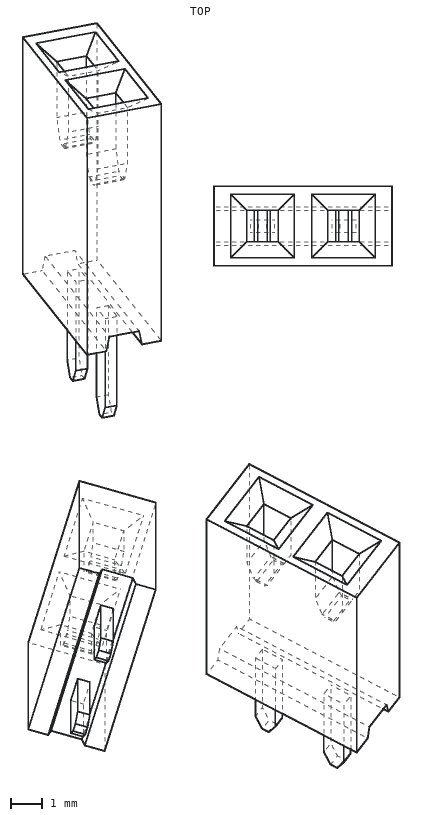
import cadquery as cq

contact_count = 2
pitch = 2.54
end_margin = 0.25
housing_length = contact_count * pitch + 2 * end_margin
housing_width = 2.5
housing_height = 8.5

groove_depth = 0.5
groove_roof_width = 1.0
groove_mouth_width = 1.2

funnel_mouth = 2.0
socket_width = 1.0
funnel_depth = 0.5
ramp_depth = 2.5
ramp_height = 0.675
throat_width = 0.5
throat_depth = ramp_depth + ramp_height
floor_width = 0.3
recess_length = 0.98
floor_depth = throat_depth + (throat_width - floor_width) / 2

pin_width = 0.75
pin_thickness = 0.4
pin_length = 3.2
tip_width = 0.25
tip_height = 0.5

contact_positions = [(i - (contact_count - 1) / 2) * pitch for i in range(contact_count)]


def extrude_symmetric(x, half_profile, thickness):
    """Mirror an XZ half profile about its centre line at x and extrude it evenly along Y."""
    mirrored = [(-across, z) for across, z in reversed(half_profile)]
    return (
        cq.Workplane("XZ", origin=(x, 0, 0))
        .polyline(half_profile + mirrored)
        .close()
        .extrude(thickness / 2, both=True)
    )


def make_housing():
    """Rectangular block standing on Z = 0, centred in X and Y."""
    return cq.Workplane("XY").box(
        housing_length, housing_width, housing_height, centered=(True, True, False)
    )


def make_groove():
    """Trapezoidal channel running the full length of the underside, wider at the bottom."""
    outline = [
        (-groove_mouth_width / 2, 0),
        (-groove_roof_width / 2, groove_depth),
        (groove_roof_width / 2, groove_depth),
        (groove_mouth_width / 2, 0),
    ]
    return cq.Workplane("YZ").polyline(outline).close().extrude(housing_length / 2, both=True)


def make_funnel(x):
    """Square lead-in that narrows from the top face down to the socket."""
    return (
        cq.Workplane("XY", origin=(x, 0, housing_height))
        .rect(funnel_mouth, funnel_mouth)
        .workplane(offset=-funnel_depth)
        .rect(socket_width, socket_width)
        .loft(combine=True, ruled=True)
    )


def make_socket(x):
    """Square shaft whose X sides close in to a throat above a narrower bevelled recess."""
    half_profile = [
        (socket_width / 2, housing_height - funnel_depth),
        (socket_width / 2, housing_height - ramp_depth),
        (throat_width / 2, housing_height - throat_depth),
    ]
    return extrude_symmetric(x, half_profile, socket_width)


def make_recess(x):
    """Shallow recess below the throat, with bevelled X sides and a flat floor."""
    half_profile = [
        (throat_width / 2, housing_height - throat_depth),
        (floor_width / 2, housing_height - floor_depth),
    ]
    return extrude_symmetric(x, half_profile, recess_length)


def make_pin(x):
    """Flat pin hanging from the groove roof, tapered in width to a blunt tip."""
    half_profile = [
        (pin_width / 2, groove_depth),
        (pin_width / 2, tip_height - pin_length),
        (tip_width / 2, -pin_length),
    ]
    return extrude_symmetric(x, half_profile, pin_thickness)


result = make_housing().cut(make_groove())
for position in contact_positions:
    result = result.cut(make_funnel(position)).cut(make_socket(position)).cut(make_recess(position))
    result = result.union(make_pin(position))